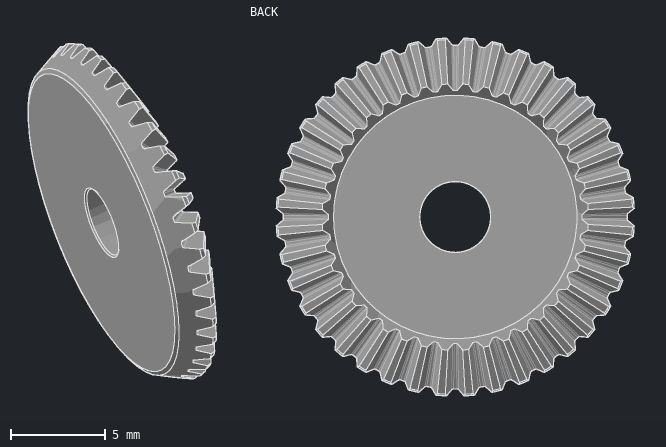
import cadquery as cq
import math


tooth_count = 40
gear_ratio = 2.0
module = 0.47
pressure_angle = math.radians(20)
root_fillet = 0.1
heel_chamfer = 0.2
back_edge_radius = 8.655
back_chamfer_on_face = 0.2
back_chamfer_on_cone = 0.13
total_width = 3.04
web_thickness = 1.83
bore_diameter = 3.75
bore_chamfer = 0.1

pitch_angle = math.atan(gear_ratio)
sin_pitch = math.sin(pitch_angle)
cos_pitch = math.cos(pitch_angle)
addendum = module
dedendum = 1.25 * module
pitch_radius = module * tooth_count / 2
pitch_y = (pitch_radius - back_edge_radius) * gear_ratio
apex_y = pitch_y + pitch_radius / gear_ratio
cone_distance = pitch_radius / sin_pitch

tip_radius = pitch_radius + addendum * cos_pitch
tip_y = pitch_y + addendum * sin_pitch
face_slope = (apex_y - tip_y) / tip_radius


def make_blank():
    """Revolve the toothless blank, with its bore, about the Y axis."""
    bore_radius = bore_diameter / 2
    inner_tip_radius = (apex_y - total_width) / face_slope
    web_radius = inner_tip_radius - (total_width - web_thickness) / gear_ratio
    face_angle = math.atan(face_slope)
    heel_start = (tip_radius - heel_chamfer * cos_pitch, tip_y - heel_chamfer * sin_pitch)
    heel_end = (
        tip_radius - heel_chamfer * math.cos(face_angle),
        tip_y + heel_chamfer * math.sin(face_angle),
    )
    chamfer_end = (
        back_edge_radius + back_chamfer_on_cone * cos_pitch,
        back_chamfer_on_cone * sin_pitch,
    )
    section = [
        (bore_radius + bore_chamfer, 0),
        (back_edge_radius - back_chamfer_on_face, 0),
        chamfer_end,
        heel_start,
        heel_end,
        (inner_tip_radius, total_width),
        (web_radius, web_thickness),
        (bore_radius, web_thickness),
        (bore_radius, bore_chamfer),
    ]
    return cq.Workplane("XY").polyline(section).close().revolve(360, (0, 0), (0, 1))


def gap_section(scale):
    """Tooth gap outline, shrunk toward the cone apex by the given scale.

    Its plane is square to the pitch cone; local x runs across the gap and
    local y runs from the root toward the tooth tips.
    """
    distance = cone_distance * scale
    plane = cq.Plane(
        origin=(distance * sin_pitch, apex_y - distance * cos_pitch, 0),
        xDir=(0, 0, -1),
        normal=(sin_pitch, -cos_pitch, 0),
    )
    pitch_half_width = math.pi * module / 4
    top = 2 * addendum
    flank_tan = math.tan(pressure_angle)
    top_half_width = pitch_half_width + top * flank_tan
    root_half_width = pitch_half_width - dedendum * flank_tan

    turn = math.pi / 2 - pressure_angle
    tangent = root_fillet * math.tan(turn / 2)
    flat_half_width = root_half_width - tangent
    centre_y = -dedendum + root_fillet
    mid_x = flat_half_width + root_fillet * math.sin(turn / 2)
    mid_y = centre_y - root_fillet * math.cos(turn / 2)
    flank_x = flat_half_width + root_fillet * math.sin(turn)
    flank_y = centre_y - root_fillet * math.cos(turn)

    def at(x, y):
        return (x * scale, y * scale)

    outline = (
        cq.Workplane(plane)
        .moveTo(*at(-top_half_width, top))
        .lineTo(*at(-flank_x, flank_y))
        .threePointArc(at(-mid_x, mid_y), at(-flat_half_width, -dedendum))
        .lineTo(*at(flat_half_width, -dedendum))
        .threePointArc(at(mid_x, mid_y), at(flank_x, flank_y))
        .lineTo(*at(top_half_width, top))
        .close()
    )
    return outline.val()


def make_gap_cutter():
    """Tapered cutter for one tooth gap, centred on the +X direction."""
    outer_scale = 1.08
    inner_scale = 0.55
    return cq.Solid.makeLoft([gap_section(outer_scale), gap_section(inner_scale)], True)


def cut_teeth(blank):
    """Cut every tooth gap around the Y axis."""
    cutter = make_gap_cutter()
    tooth_step = 360 / tooth_count
    cutters = []
    for index in range(tooth_count):
        cutters.append(cutter.rotate(cq.Vector(0, 0, 0), cq.Vector(0, 1, 0), index * tooth_step))
    return blank.val().cut(*cutters)


result = cq.Workplane("XY").newObject([cut_teeth(make_blank())])